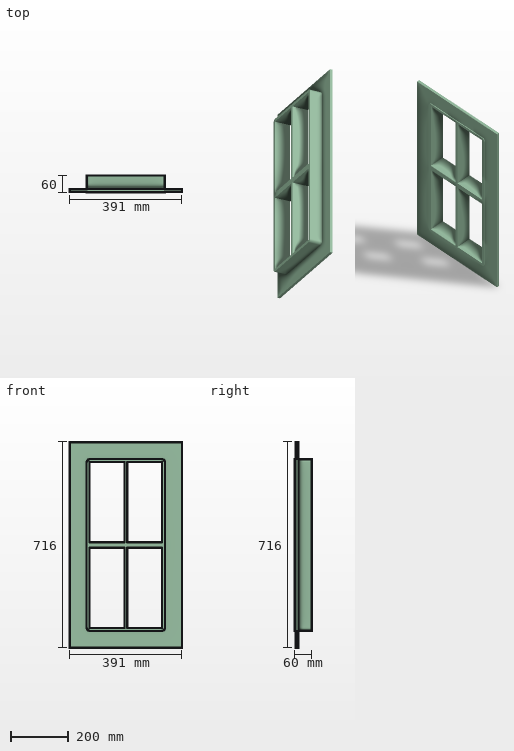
import cadquery as cq

flange_width = 391.0
flange_height = 716.0
flange_thickness = 10.0
flange_border = 59.5
flange_front_y = 0.0

frame_width = flange_width - 2 * flange_border
frame_height = flange_height - 2 * flange_border
frame_depth = 60.0
frame_wall = 10.5
frame_corner_radius = 11.0
frame_lip = 3.0
frame_front_y = flange_front_y - frame_lip

upright_bar_width = 10.0
cross_bar_height = 20.0

pane_width = (frame_width - 2 * frame_wall - upright_bar_width) / 2
pane_height = (frame_height - 2 * frame_wall - cross_bar_height) / 2
pane_offset_x = (pane_width + upright_bar_width) / 2
pane_offset_z = (pane_height + cross_bar_height) / 2


def block(width, depth, height, front_y):
    """Box centred on X and Z, running back along +Y from front_y."""
    return cq.Workplane("XY").box(width, depth, height).translate((0, front_y + depth / 2, 0))


def make_flange():
    return block(flange_width, flange_thickness, flange_height, flange_front_y)


def make_frame():
    frame = block(frame_width, frame_depth, frame_height, frame_front_y)
    return frame.edges("|Y").fillet(frame_corner_radius)


def make_panes():
    """Four through openings, one in each quarter of the window."""
    pane = block(pane_width, frame_depth, pane_height, frame_front_y)
    panes = cq.Workplane("XY")
    for side_x in (-1, 1):
        for side_z in (-1, 1):
            panes = panes.add(pane.translate((side_x * pane_offset_x, 0, side_z * pane_offset_z)))
    return panes.combine()


result = make_flange().union(make_frame()).cut(make_panes())